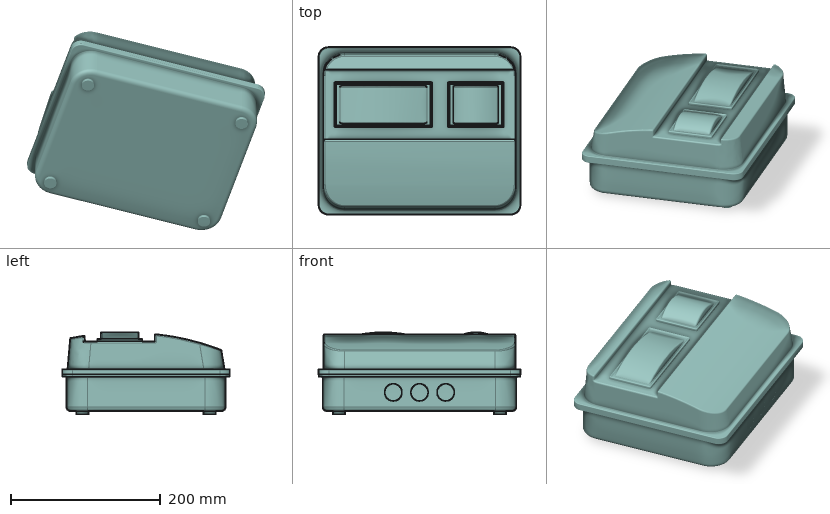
import cadquery as cq


FOOT_HEIGHT = 4.5
FLANGE_BOTTOM = 50.5
FLANGE_STEP = 54.0
FLANGE_TOP = 60.5
DECK = 97.5
OVERALL_HEIGHT = 110.0

TUB_WIDTH = 259.0
TUB_DEPTH = 213.0
WALL_CORNER_RADIUS = 28.0
TUB_BOTTOM_FILLET = 6.0

FOOT_DIAMETER = 16.5
FOOT_SPACING_X = 215.0
FOOT_SPACING_Y = 170.0

KNOCKOUT_DIAMETER = 23.0
KNOCKOUT_PITCH = 35.0
KNOCKOUT_HEIGHT = 29.5
KNOCKOUT_COUNT = 3
KNOCKOUT_DEPTH = 0.1

FLANGE_WIDTH = 270.0
FLANGE_DEPTH = 224.0
FLANGE_CORNER_RADIUS = 13.5
FLANGE_STEP_INSET = 0.1
FLANGE_EDGE_FILLET = 1.0
FLANGE_ROOT_FILLET = 1.0

HOOD_WIDTH = 256.5
HOOD_DEPTH = 210.0
HOOD_FRONT_LEAN = 8.3
HOOD_BACK_LEAN = 4.3
HOOD_EDGE_FILLET = 2.0
BACK_ROOT_FILLET = 1.5
FRONT_ROOT_FILLET = 0.5

EDGE_MARGIN = 1.0
LEVEL_MARGIN = 0.5
HOOD_TOP_ZONE_Z = 83.0

FRONT_SLOPE_START_Y = -HOOD_DEPTH / 2
FRONT_SLOPE_START_Z = 84.3
FRONT_SLOPE_MID_Y = -56.0
FRONT_SLOPE_MID_Z = 100.0
FRONT_RIDGE_Y = -11.5
FRONT_RIDGE_Z = 107.5
BACK_RIDGE_Y = 81.5
BACK_RIDGE_Z = 105.5
BACK_EDGE_Y = HOOD_DEPTH / 2
BACK_EDGE_Z = 101.5

WINDOWS = [(-48.4, 131.0), (75.2, 75.0)]
WINDOW_CENTRE_Y = 35.0
WINDOW_DEPTH = 60.5
WINDOW_CORNER_RADIUS = 2.0
FRAME_HEIGHT = 3.5
FRAME_BEAD_WIDTH = 3.0
FRAME_OUTER_FILLET = 1.2
FRAME_INNER_SLOPE = 45.0
PANE_HEIGHT = 2.0
DOME_END_MARGIN = 7.5
DOME_DEPTH = 51.0
DOME_EDGE_FILLET = 2.0


def rounded_slab(width, depth, corner_radius, bottom, top):
    """Upright slab with rounded vertical corners, centred on the Z axis."""
    return (
        cq.Workplane("XY", origin=(0, 0, bottom))
        .rect(width, depth)
        .extrude(top - bottom)
        .edges("|Z")
        .fillet(corner_radius)
    )


def make_tub():
    tub = rounded_slab(TUB_WIDTH, TUB_DEPTH, WALL_CORNER_RADIUS, FOOT_HEIGHT, FLANGE_BOTTOM)
    tub = tub.faces("<Z").edges().fillet(TUB_BOTTOM_FILLET)
    knockouts = (
        cq.Workplane("XZ", origin=(0, -TUB_DEPTH / 2, KNOCKOUT_HEIGHT))
        .rarray(KNOCKOUT_PITCH, 1, KNOCKOUT_COUNT, 1)
        .circle(KNOCKOUT_DIAMETER / 2)
        .extrude(-KNOCKOUT_DEPTH)
    )
    return tub.cut(knockouts)


def make_feet():
    return (
        cq.Workplane("XY")
        .rect(FOOT_SPACING_X, FOOT_SPACING_Y, forConstruction=True)
        .vertices()
        .circle(FOOT_DIAMETER / 2)
        .extrude(FOOT_HEIGHT + TUB_BOTTOM_FILLET)
    )


def make_flange():
    lower = rounded_slab(
        FLANGE_WIDTH - 2 * FLANGE_STEP_INSET,
        FLANGE_DEPTH - 2 * FLANGE_STEP_INSET,
        FLANGE_CORNER_RADIUS - FLANGE_STEP_INSET,
        FLANGE_BOTTOM,
        FLANGE_STEP,
    )
    upper = rounded_slab(FLANGE_WIDTH, FLANGE_DEPTH, FLANGE_CORNER_RADIUS, FLANGE_STEP, FLANGE_TOP)
    lower = lower.faces("<Z").edges().fillet(FLANGE_EDGE_FILLET)
    upper = upper.faces(">Z").edges().fillet(FLANGE_EDGE_FILLET)
    return lower.union(upper)


def make_hood():
    top_depth = HOOD_DEPTH - HOOD_FRONT_LEAN - HOOD_BACK_LEAN
    top_shift = (HOOD_FRONT_LEAN - HOOD_BACK_LEAN) / 2
    bottom_outline = cq.Sketch().rect(HOOD_WIDTH, HOOD_DEPTH).vertices().fillet(WALL_CORNER_RADIUS)
    top_outline = cq.Sketch().rect(HOOD_WIDTH, top_depth).vertices().fillet(WALL_CORNER_RADIUS)
    walls = (
        cq.Workplane("XY", origin=(0, 0, FLANGE_TOP))
        .placeSketch(
            bottom_outline,
            top_outline.moved(cq.Location(cq.Vector(0, top_shift, OVERALL_HEIGHT - FLANGE_TOP))),
        )
        .loft(ruled=True)
    )
    side_profile = (
        cq.Workplane("YZ")
        .moveTo(FRONT_SLOPE_START_Y, FLANGE_TOP)
        .lineTo(FRONT_SLOPE_START_Y, FRONT_SLOPE_START_Z)
        .threePointArc((FRONT_SLOPE_MID_Y, FRONT_SLOPE_MID_Z), (FRONT_RIDGE_Y, FRONT_RIDGE_Z))
        .lineTo(FRONT_RIDGE_Y, DECK)
        .lineTo(BACK_RIDGE_Y, DECK)
        .lineTo(BACK_RIDGE_Y, BACK_RIDGE_Z)
        .lineTo(BACK_EDGE_Y, BACK_EDGE_Z)
        .lineTo(BACK_EDGE_Y, FLANGE_TOP)
        .close()
        .extrude(HOOD_WIDTH / 2, both=True)
    )
    hood = walls.intersect(side_profile)
    for ridge_y, root_fillet in [(BACK_RIDGE_Y, BACK_ROOT_FILLET), (FRONT_RIDGE_Y, FRONT_ROOT_FILLET)]:
        deck_root = cq.selectors.BoxSelector(
            (-EDGE_MARGIN, ridge_y - EDGE_MARGIN, DECK - EDGE_MARGIN),
            (EDGE_MARGIN, ridge_y + EDGE_MARGIN, DECK + EDGE_MARGIN),
        )
        hood = hood.edges(deck_root).fillet(root_fillet)

    top_zone = cq.selectors.BoxSelector(
        (-HOOD_WIDTH, -HOOD_DEPTH, HOOD_TOP_ZONE_Z),
        (HOOD_WIDTH, HOOD_DEPTH, OVERALL_HEIGHT),
    )
    inside_corners = cq.selectors.BoxSelector(
        (-EDGE_MARGIN, FRONT_RIDGE_Y - EDGE_MARGIN, DECK - EDGE_MARGIN),
        (EDGE_MARGIN, BACK_RIDGE_Y + EDGE_MARGIN, DECK + BACK_ROOT_FILLET + EDGE_MARGIN),
    )
    return hood.edges(top_zone - inside_corners).fillet(HOOD_EDGE_FILLET)


def make_enclosure():
    enclosure = make_tub().union(make_feet()).union(make_flange()).union(make_hood())
    for level in (FLANGE_BOTTOM, FLANGE_TOP):
        wall_root = cq.selectors.BoxSelector(
            (-TUB_WIDTH / 2 - EDGE_MARGIN, -TUB_DEPTH / 2 - EDGE_MARGIN, level - LEVEL_MARGIN),
            (TUB_WIDTH / 2 + EDGE_MARGIN, TUB_DEPTH / 2 + EDGE_MARGIN, level + LEVEL_MARGIN),
        )
        enclosure = enclosure.edges(wall_root).fillet(FLANGE_ROOT_FILLET)
    return enclosure


def make_window(centre_x, width):
    """Window with a raised bead round a flat pane and a dome arched along X."""
    base = cq.Workplane("XY", origin=(centre_x, WINDOW_CENTRE_Y, DECK))
    frame = (
        base.rect(width, WINDOW_DEPTH)
        .extrude(FRAME_HEIGHT)
        .edges("|Z")
        .fillet(WINDOW_CORNER_RADIUS)
        .faces(">Z")
        .edges()
        .fillet(FRAME_OUTER_FILLET)
    )
    recess = (
        base.workplane(offset=PANE_HEIGHT)
        .rect(width - 2 * FRAME_BEAD_WIDTH, WINDOW_DEPTH - 2 * FRAME_BEAD_WIDTH)
        .extrude(FRAME_HEIGHT - PANE_HEIGHT, taper=-FRAME_INNER_SLOPE)
    )
    half_chord = width / 2 - DOME_END_MARGIN
    dome = (
        cq.Workplane("XZ", origin=(centre_x, WINDOW_CENTRE_Y + DOME_DEPTH / 2, DECK))
        .moveTo(-half_chord, 0)
        .lineTo(-half_chord, PANE_HEIGHT)
        .threePointArc((0, OVERALL_HEIGHT - DECK), (half_chord, PANE_HEIGHT))
        .lineTo(half_chord, 0)
        .close()
        .extrude(DOME_DEPTH)
        .edges("%CIRCLE")
        .fillet(DOME_EDGE_FILLET)
    )
    return frame.cut(recess).union(dome)


enclosure = make_enclosure()
windows = [make_window(centre_x, width) for centre_x, width in WINDOWS]

result = cq.Compound.makeCompound([enclosure.val(), *[window.val() for window in windows]])